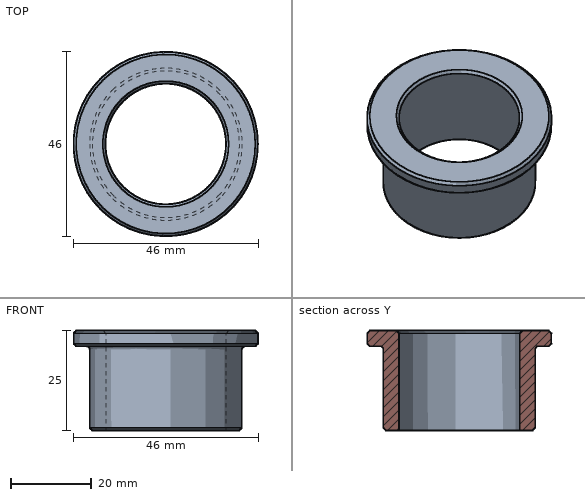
import cadquery as cq

flange_diameter = 46.0
body_diameter = 38.0
bore_diameter = 30.0
total_height = 25.0
flange_thickness = 4.0
edge_chamfer = 0.7
neck_fillet = 0.8

flange_radius = flange_diameter / 2
body_radius = body_diameter / 2
bore_radius = bore_diameter / 2
flange_underside = total_height - flange_thickness

section = (
    cq.Workplane("XZ")
    .moveTo(bore_radius, 0)
    .lineTo(body_radius - edge_chamfer, 0)
    .lineTo(body_radius, edge_chamfer)
    .lineTo(body_radius, flange_underside - neck_fillet)
    .radiusArc((body_radius + neck_fillet, flange_underside), neck_fillet)
    .lineTo(flange_radius - edge_chamfer, flange_underside)
    .lineTo(flange_radius, flange_underside + edge_chamfer)
    .lineTo(flange_radius, total_height - edge_chamfer)
    .lineTo(flange_radius - edge_chamfer, total_height)
    .lineTo(bore_radius + edge_chamfer, total_height)
    .lineTo(bore_radius, total_height - edge_chamfer)
    .close()
)

result = section.revolve(360, (0, 0, 0), (0, 1, 0))